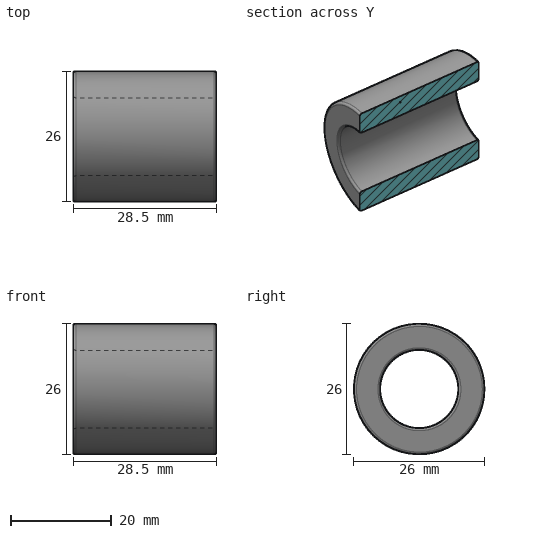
import cadquery as cq

length = 28.5
outer_diameter = 26.0
bore_diameter = 15.5
edge_radius = 0.5


def make_sleeve():
    """Hollow cylinder along X, centred on the origin."""
    return (
        cq.Workplane("YZ", origin=(-length / 2, 0, 0))
        .circle(outer_diameter / 2)
        .circle(bore_diameter / 2)
        .extrude(length)
    )


def round_rims(sleeve):
    """Round the outer and bore edges of both end faces."""
    return sleeve.faces("<X or >X").edges().fillet(edge_radius)


result = round_rims(make_sleeve())